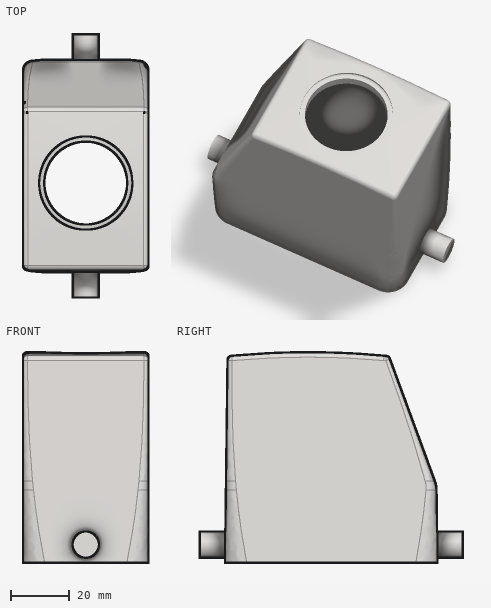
import cadquery as cq

width = 43.0
height = 72.0
base_half_length = 36.4
front_top_y = -35.5
crease_y = 36.0
crease_z = 26.4
slope_top_y = 19.7
crown_sag = 1.35
bend_half_height = 1.5

base_corner_radius = 7.5
top_corner_radius = 1.6
corner_taper_power = 2.5
roof_fillet = 1.7

entry_y = -5.85
entry_diameter = 28.3
seat_diameter = 31.9
seat_z = 71.1

side_wall = 3.5
roof_wall = 4.5
cavity_half_length = 26.1
cavity_bend_z = 42.75

peg_diameter = 9.0
peg_span = 90.0
peg_z = 6.2

roof_edge_z = height - crown_sag
slope_run = (crease_y - slope_top_y) / (roof_edge_z - crease_z)
blank_height = height + 0.9
bend_bottom = crease_z - bend_half_height
bend_top = crease_z + bend_half_height


def corner_radius(z):
    remaining = max(0.0, 1 - z / height)
    taper = remaining ** corner_taper_power
    return top_corner_radius + (base_corner_radius - top_corner_radius) * taper


def front_y(z):
    return -base_half_length + (front_top_y + base_half_length) * z / height


def lower_back_y(z):
    return base_half_length + (crease_y - base_half_length) * z / crease_z


def back_y(z):
    """Y of the +Y end: upright below, sloped above, with a parabolic blend between."""
    if z <= bend_bottom:
        return lower_back_y(z)
    slope_y = crease_y - slope_run * (z - crease_z)
    if z >= bend_top:
        return slope_y
    t = (z - bend_bottom) / (bend_top - bend_bottom)
    start = lower_back_y(bend_bottom)
    end = crease_y - slope_run * bend_half_height
    return (1 - t) ** 2 * start + 2 * t * (1 - t) * crease_y + t ** 2 * end


def section(z):
    """Rounded rectangular outline of the housing at height z."""
    length = back_y(z) - front_y(z)
    middle = (back_y(z) + front_y(z)) / 2
    blank = cq.Workplane("XY", origin=(0, middle, z)).rect(width, length).extrude(0.9)
    rounded = blank.edges("|Z").fillet(corner_radius(z))
    return rounded.faces("<Z").val().outerWire()


def loft_between(bottom, top, steps):
    levels = [bottom + (top - bottom) * i / steps for i in range(steps + 1)]
    return cq.Workplane(cq.Solid.makeLoft([section(z) for z in levels]))


def make_body():
    body = loft_between(0, bend_bottom, 2)
    body = body.union(loft_between(bend_bottom, bend_top, 2))
    body = body.union(loft_between(bend_top, blank_height, 4))
    roof_middle_y = (slope_top_y + front_top_y) / 2
    roof_half_length = (slope_top_y - front_top_y) / 2
    roof_radius = (roof_half_length ** 2 + crown_sag ** 2) / (2 * crown_sag)
    under_roof = (
        cq.Workplane("YZ", origin=(-width, roof_middle_y, height - roof_radius))
        .circle(roof_radius)
        .extrude(2 * width)
    )
    body = body.intersect(under_roof)
    return body.faces(">Z").edges().fillet(roof_fillet)


def make_cavity():
    roof_z = height - roof_wall
    roof_y = cavity_half_length - slope_run * (roof_z - cavity_bend_z)
    inner_width = width - 2 * side_wall
    return (
        cq.Workplane("YZ", origin=(-inner_width / 2, 0, 0))
        .moveTo(-cavity_half_length, 0)
        .lineTo(cavity_half_length, 0)
        .lineTo(cavity_half_length, cavity_bend_z)
        .lineTo(roof_y, roof_z)
        .lineTo(-cavity_half_length, roof_z)
        .close()
        .extrude(inner_width)
    )


def make_entry():
    """Through bore with a shallow flat seat around it."""
    seat = cq.Workplane("XY", origin=(0, entry_y, seat_z)).circle(seat_diameter / 2).extrude(roof_wall)
    bore_bottom = height - 2 * roof_wall
    bore = cq.Workplane("XY", origin=(0, entry_y, bore_bottom)).circle(entry_diameter / 2)
    return seat.union(bore.extrude(2 * roof_wall))


def make_pegs():
    """Pegs in line along Y; the cavity cut removes the stretch between the ends."""
    return cq.Workplane("XZ", origin=(0, peg_span / 2, peg_z)).circle(peg_diameter / 2).extrude(peg_span)


result = make_body().union(make_pegs()).cut(make_cavity()).cut(make_entry())